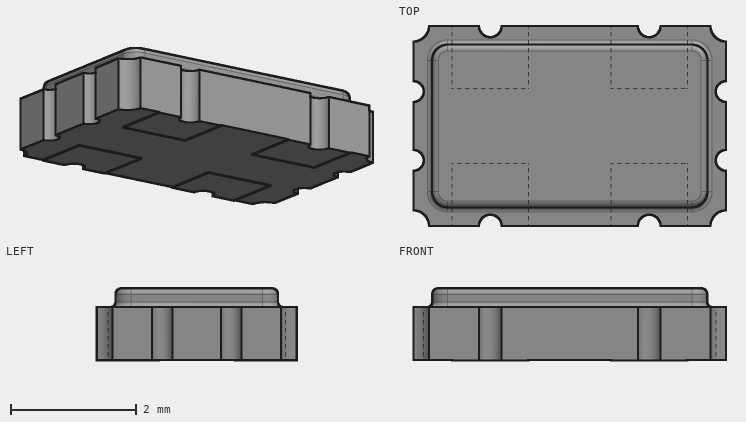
import cadquery as cq

length = 5.0
width = 3.2
base_height = 0.85
corner_notch_radius = 0.25
long_side_notch_radius = 0.18
long_side_notch_x = 1.27
short_side_notch_radius = 0.165
short_side_notch_y = 0.55

pad_length = 1.22
pad_width = 1.0
pad_thickness = 0.01

lid_margin = 0.3
lid_height = 0.3
lid_corner_radius = 0.25
lid_top_fillet = 0.1
lid_foot_fillet = 0.075

selection_margin = 0.05

total_height = pad_thickness + base_height + lid_height


def mirrored(x, y):
    """Return the four points placed symmetrically about both centre planes."""
    return [(sx * x, sy * y) for sx in (-1, 1) for sy in (-1, 1)]


def make_base():
    return cq.Workplane("XY").box(length, width, base_height, centered=(True, True, False))


def make_pads():
    """Pads reach the long sides and are centred on the long-side notches."""
    pad_y = (width - pad_width) / 2
    return (
        cq.Workplane("XY", origin=(0, 0, -pad_thickness))
        .pushPoints(mirrored(long_side_notch_x, pad_y))
        .rect(pad_length, pad_width)
        .extrude(pad_thickness)
    )


def make_notches(x, y, radius):
    """Upright cylinders that cut through the pads and the base, clear of the lid."""
    return (
        cq.Workplane("XY", origin=(0, 0, -pad_thickness))
        .pushPoints(mirrored(x, y))
        .circle(radius)
        .extrude(total_height)
    )


def add_lid(body):
    """Rounded lid with a concave fillet where it meets the base."""
    lid = (
        cq.Workplane("XY", origin=(0, 0, base_height))
        .rect(length - 2 * lid_margin, width - 2 * lid_margin)
        .extrude(lid_height)
        .edges("|Z")
        .fillet(lid_corner_radius)
        .faces(">Z")
        .edges()
        .fillet(lid_top_fillet)
    )
    foot_outline = cq.selectors.BoxSelector(
        (-length / 2 + selection_margin, -width / 2 + selection_margin, base_height - selection_margin),
        (length / 2 - selection_margin, width / 2 - selection_margin, base_height + selection_margin),
    )
    return body.union(lid).edges(foot_outline).edges("#Z").fillet(lid_foot_fillet)


result = add_lid(make_base()).union(make_pads())
result = result.cut(make_notches(length / 2, width / 2, corner_notch_radius))
result = result.cut(make_notches(long_side_notch_x, width / 2, long_side_notch_radius))
result = result.cut(make_notches(length / 2, short_side_notch_y, short_side_notch_radius))